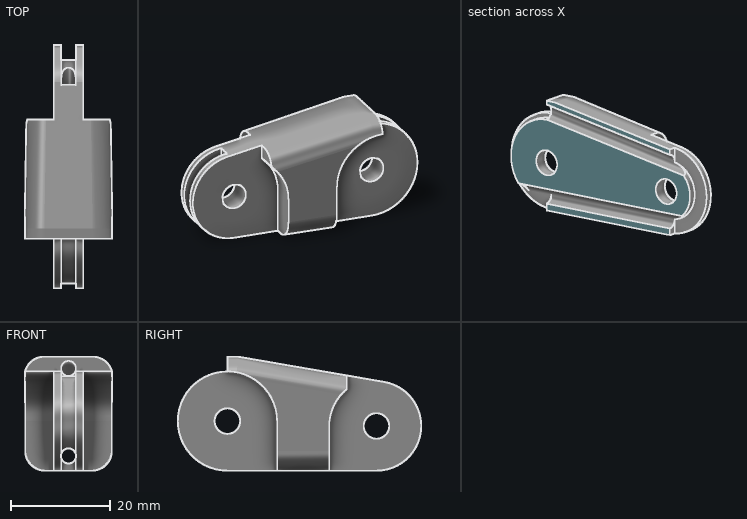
import cadquery as cq
import math

lug_width = 6.0
groove_width = 3.0
front_radius = 10.0
rear_radius = 9.0
front_y = front_radius
total_length = 49.0
rear_y = total_length - rear_radius
pin_hole_diameter = 5.1
front_groove_depth = 1.0
rear_groove_depth = 3.0
rear_groove_start_y = 40.95
groove_overrun = 0.5

body_width = 17.8
body_height = 23.0
side_taper = math.radians(0.9)
corner_radius = 4.0
lip_end_y = 12.1
rear_clearance_radius = 9.5
body_back_y = 34.0

cord_hole_diameter = groove_width
lower_cord_z = 3.0
upper_cord_drop = 2.4

lip_dy = rear_y - lip_end_y
lip_dz = body_height - rear_radius
slope = math.atan2(lip_dz, lip_dy) - math.asin(rear_radius / math.hypot(lip_dy, lip_dz))
tangent_y = rear_y + rear_radius * math.sin(slope)
tangent_z = rear_radius + rear_radius * math.cos(slope)


def x_prism(outline, width):
    """Extrude a closed YZ outline symmetrically about X = 0."""
    return outline.extrude(width / 2, both=True)


def x_cylinder(y, z, radius, width):
    return x_prism(cq.Workplane("YZ").center(y, z).circle(radius), width)


def ground_box(start_y, length, height):
    """Full-width box standing on Z = 0 and running towards +Y."""
    return (
        cq.Workplane("XY")
        .box(body_width, length, height, centered=(True, False, False))
        .translate((0, start_y, 0))
    )


def cord_passage(start_y, start_z, fall_angle):
    """Round hole running towards +Y, falling by the given angle."""
    direction = cq.Vector(0, math.cos(fall_angle), -math.sin(fall_angle))
    start = cq.Vector(0, start_y, start_z)
    return cq.Workplane(cq.Solid.makeCylinder(cord_hole_diameter / 2, total_length, start, direction))


def upper_cord_passage():
    """Passage parallel to the sloping top, entering squarely through the lip's front face."""
    overlap = cord_hole_diameter / 2
    start_z = body_height - upper_cord_drop + overlap * math.tan(slope)
    ahead_of_lip = ground_box(0, front_y, body_height)
    return cord_passage(front_y - overlap, start_z, slope).cut(ahead_of_lip)


def side_outline():
    """Lip, sloping top, rear round and flat bottom, square at the front."""
    return (
        cq.Workplane("YZ")
        .moveTo(front_y, 0)
        .lineTo(front_y, body_height)
        .lineTo(lip_end_y, body_height)
        .lineTo(tangent_y, tangent_z)
        .threePointArc((total_length, rear_radius), (rear_y, 0))
        .close()
    )


def body():
    """Rounded block, cleared around both pins so neighbouring links can swing."""
    back_height = tangent_z + (tangent_y - body_back_y) * math.tan(slope)
    outline = (
        cq.Workplane("YZ")
        .moveTo(front_y, 0)
        .lineTo(front_y, body_height)
        .lineTo(lip_end_y, body_height)
        .lineTo(body_back_y, back_height)
        .lineTo(body_back_y, 0)
        .close()
    )
    front_half = body_width / 2
    back_half = front_half - (body_back_y - front_y) * math.tan(side_taper)
    plan = (
        cq.Workplane("XY")
        .moveTo(-front_half, front_y)
        .lineTo(front_half, front_y)
        .lineTo(back_half, body_back_y)
        .lineTo(-back_half, body_back_y)
        .close()
        .extrude(body_height)
    )
    block = x_prism(outline, body_width).intersect(plan)
    long_edges = block.faces("<X or >X").edges("not(|Z)")
    rounded = long_edges.fillet(corner_radius)

    front_clearance = x_cylinder(front_y, front_radius, front_radius, body_width).union(
        ground_box(front_y, front_radius, front_radius)
    )
    rear_clearance = x_cylinder(rear_y, rear_radius, rear_clearance_radius, body_width).union(
        ground_box(rear_y - rear_clearance_radius, rear_clearance_radius, rear_radius)
    )
    return rounded.cut(front_clearance).cut(rear_clearance)


def lugs():
    front = x_cylinder(front_y, front_radius, front_radius, lug_width)
    return x_prism(side_outline(), lug_width).union(front)


def groove_ring(y, lug_radius, depth):
    """Square-section ring around a pin, from the groove floor to outside the lug."""
    outer = x_cylinder(y, lug_radius, lug_radius + groove_overrun, groove_width)
    return outer.cut(x_cylinder(y, lug_radius, lug_radius - depth, groove_width))


def front_groove():
    """Groove on the front half, opening into a channel below the lower cord axis."""
    zone = ground_box(0, front_y, body_height)
    ring = groove_ring(front_y, front_radius, front_groove_depth).intersect(zone)
    channel = (
        cq.Workplane("XY")
        .box(cord_hole_diameter, front_y, lower_cord_z, centered=(True, False, False))
    )
    return ring.union(channel)


def rear_groove():
    zone = ground_box(rear_groove_start_y, rear_radius, body_height)
    return groove_ring(rear_y, rear_radius, rear_groove_depth).intersect(zone)


result = body().union(lugs())
result = result.cut(front_groove())
result = result.cut(rear_groove())
result = result.cut(x_cylinder(front_y, front_radius, pin_hole_diameter / 2, body_width))
result = result.cut(x_cylinder(rear_y, rear_radius, pin_hole_diameter / 2, body_width))
result = result.cut(cord_passage(0, lower_cord_z, 0))
result = result.cut(upper_cord_passage())